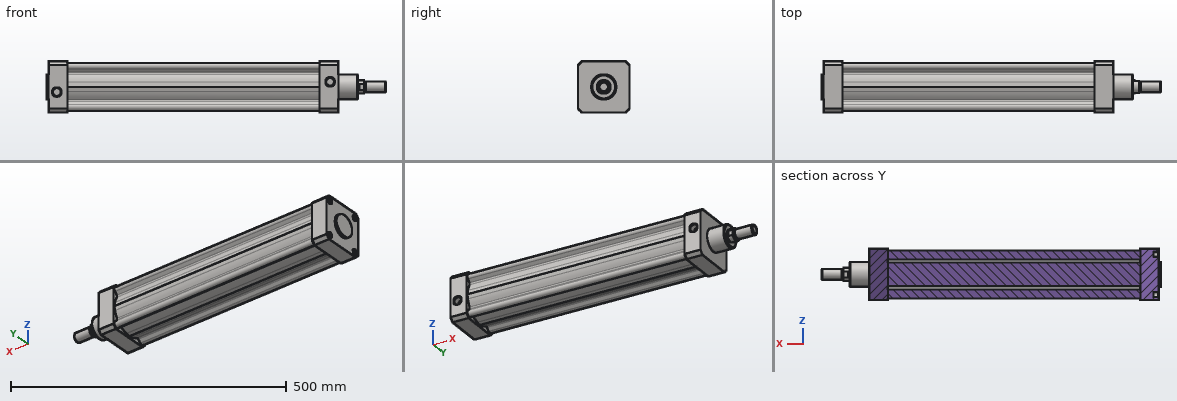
import cadquery as cq
import math

total_length = 618.0
rear_boss_length = 4.5
cap_length = 34.0
front_cap_start = 497.0
front_boss_length = 36.0

cap_width = 94.0
cap_corner_chamfer = 7.5
boss_radius = 23.0
front_boss_chamfer = 2.0

port_radius = 7.5
port_chamfer = 1.0
port_depth = 15.5
port_inset = 15.0
port_offset = 9.0

screw_hole_radius = 4.5
screw_hole_chamfer = 1.0
screw_hole_depth = 9.0
screw_hole_offset = 36.5

wall_radius = 42.5
ridge_half_width = 8.5
lobe_radius = 7.0
lobe_offset = 37.0
root_fillet = 3.0

shank_radius = 12.5
collar_length = 2.5
flat_length = 8.5
across_flats = 22.0
neck_radius = 8.5
neck_length = 2.0
thread_radius = 10.0
thread_chamfer = 2.0

rear_cap_end = rear_boss_length + cap_length
front_cap_end = front_cap_start + cap_length
front_boss_end = front_cap_end + front_boss_length
flats_start = front_boss_end + collar_length
shank_end = flats_start + flat_length
thread_start = shank_end + neck_length

ridge_half_angle = math.asin(ridge_half_width / wall_radius)
ridge_top = wall_radius / math.cos(ridge_half_angle)
lobe_centre_out = lobe_offset * math.sqrt(2)
fillet_centre_radius = wall_radius + root_fillet
fillet_centre_across = lobe_radius + root_fillet
root_half_angle = math.asin(fillet_centre_across / fillet_centre_radius)
fillet_centre_out = fillet_centre_radius * math.cos(root_half_angle)
fillet_mid_angle = (math.pi + root_half_angle + 1.5 * math.pi) / 2
fillet_mid_out = fillet_centre_out + root_fillet * math.cos(fillet_mid_angle)
fillet_mid_across = fillet_centre_across + root_fillet * math.sin(fillet_mid_angle)


def disc(x, length, radius):
    """Cylinder along +X that starts at x."""
    return cq.Workplane("YZ", origin=(x, 0, 0)).circle(radius).extrude(length)


def cap_block(x):
    """Square cap with chamfered corners that starts at x."""
    block = cq.Workplane("YZ", origin=(x, 0, 0)).rect(cap_width, cap_width).extrude(cap_length)
    return block.edges("|X").chamfer(cap_corner_chamfer)


def cut_port(cap, x, z):
    """Cap with a chamfered blind port in its -Y face."""
    mouth = cq.Workplane("XZ", origin=(x, -cap_width / 2, z))
    bore = mouth.circle(port_radius).extrude(-port_depth)
    chamfer = mouth.circle(port_radius + port_chamfer).extrude(-port_chamfer, taper=45)
    return cap.cut(bore).cut(chamfer)


def cut_screw_holes(cap):
    """Rear cap with a chamfered blind hole near each corner of its -X face."""
    mouths = (
        cq.Workplane("YZ", origin=(rear_boss_length, 0, 0))
        .rect(2 * screw_hole_offset, 2 * screw_hole_offset, forConstruction=True)
        .vertices()
    )
    bores = mouths.circle(screw_hole_radius).extrude(screw_hole_depth)
    chamfers = mouths.circle(screw_hole_radius + screw_hole_chamfer).extrude(screw_hole_chamfer, taper=45)
    return cap.cut(bores).cut(chamfers)


def make_rear_cap():
    """Rear cap with its port, screw holes and low round boss."""
    cap = cap_block(rear_boss_length).union(disc(0, rear_boss_length, boss_radius))
    cap = cut_port(cap, rear_boss_length + port_inset, -port_offset)
    return cut_screw_holes(cap)


def make_front_cap():
    """Front cap with its port and the long round boss that the rod leaves from."""
    boss = disc(front_cap_end, front_boss_length, boss_radius).faces(">X").chamfer(front_boss_chamfer)
    cap = cap_block(front_cap_start).union(boss)
    return cut_port(cap, front_cap_end - port_inset, port_offset)


def on_wall(angle):
    """Point (y, z) on the round wall."""
    return (wall_radius * math.cos(angle), wall_radius * math.sin(angle))


def point_along(direction, out, across):
    """Point (y, z) at a distance out along a direction from the axis and a distance across it."""
    return (
        out * math.cos(direction) - across * math.sin(direction),
        out * math.sin(direction) + across * math.cos(direction),
    )


def add_ridge(profile, side):
    """Shallow ridge whose two flats are tangent to the wall."""
    profile = profile.lineTo(*point_along(side, ridge_top, 0))
    return profile.lineTo(*on_wall(side + ridge_half_angle))


def add_wall_arc(profile, start, end):
    """Stretch of the round wall between two angles."""
    return profile.threePointArc(on_wall((start + end) / 2), on_wall(end))


def add_lobe(profile, diagonal):
    """Lobe with a filleted root, parallel flanks and a half-round tip."""
    def point(out, across):
        return point_along(diagonal, out, across)

    return (
        profile
        .threePointArc(point(fillet_mid_out, -fillet_mid_across), point(fillet_centre_out, -lobe_radius))
        .lineTo(*point(lobe_centre_out, -lobe_radius))
        .threePointArc(point(lobe_centre_out + lobe_radius, 0), point(lobe_centre_out, lobe_radius))
        .lineTo(*point(fillet_centre_out, lobe_radius))
        .threePointArc(point(fillet_mid_out, fillet_mid_across), on_wall(diagonal + root_half_angle))
    )


def make_barrel():
    """Extruded barrel between the caps, with the same outline in every quarter."""
    profile = cq.Workplane("YZ", origin=(rear_cap_end, 0, 0)).moveTo(*on_wall(-ridge_half_angle))
    for quarter in range(4):
        side = quarter * math.pi / 2
        diagonal = side + math.pi / 4
        next_side = side + math.pi / 2
        profile = add_ridge(profile, side)
        profile = add_wall_arc(profile, side + ridge_half_angle, diagonal - root_half_angle)
        profile = add_lobe(profile, diagonal)
        profile = add_wall_arc(profile, diagonal + root_half_angle, next_side - ridge_half_angle)
    return profile.close().extrude(front_cap_start - rear_cap_end)


def make_piston_rod():
    """Rod that stands on the front boss: shank with two wrench flats, neck and thread."""
    shank = disc(front_boss_end, shank_end - front_boss_end, shank_radius)
    for side in (-1, 1):
        cutter = cq.Workplane("XY").box(flat_length, shank_radius, 2 * shank_radius)
        cutter_y = side * (across_flats + shank_radius) / 2
        shank = shank.cut(cutter.translate((flats_start + flat_length / 2, cutter_y, 0)))
    neck = disc(shank_end, neck_length, neck_radius)
    thread = disc(thread_start, total_length - thread_start, thread_radius)
    thread = thread.faces("<X or >X").chamfer(thread_chamfer)
    return shank.union(neck).union(thread)


rear_cap = make_rear_cap()
barrel = make_barrel()
front_cap = make_front_cap()
piston_rod = make_piston_rod()

bodies = [rear_cap, barrel, front_cap, piston_rod]
result = cq.Compound.makeCompound([body.solids().val() for body in bodies])